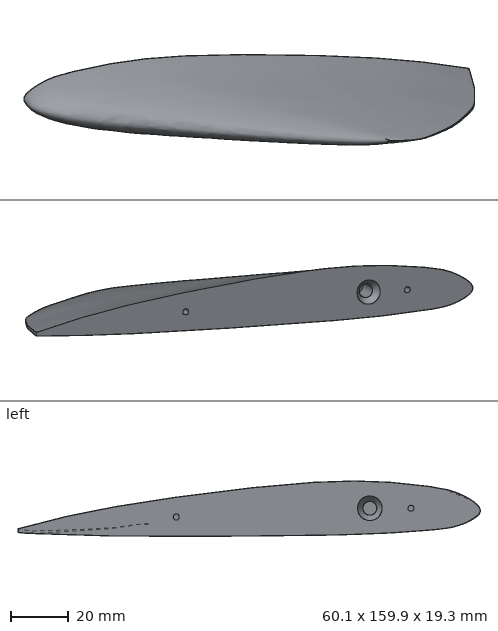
import cadquery as cq


UPPER_SIDE = [(1, 0.14), (0.84, 0.46), (0.64, 0.73), (0.42, 0.94), (0.25, 1), (0.1, 0.89), (0.03, 0.71)]
NOSE = [(0, 0.46)]
LOWER_SIDE = [(0.03, 0.25), (0.1, 0.12), (0.22, 0.05), (0.4, 0.015), (0.6, 0), (0.8, 0.01), (1, 0.07)]
SECTION_OUTLINE = UPPER_SIDE + NOSE + LOWER_SIDE

SECTIONS = [
    (0, 0, 159.9, 0, 19.2, 0),
    (3.2, 0, 159.6, 0, 18.5, 0.2),
    (8, 1.0, 158.8, 0, 17.5, 0.5),
    (14.4, 5.8, 157.8, 0, 16, 0.8),
    (23.2, 19.5, 155.6, 0, 14.0, 0.8),
    (32, 38.7, 152.5, 0.3, 12.2, 0.8),
    (40.5, 57.7, 146.8, 0.8, 10.2, 0.8),
    (49.1, 77.9, 139.1, 1.5, 8.3, 0.8),
    (54.8, 92.9, 131.6, 2.0, 6.9, 0.5),
    (58.2, 103.1, 126.2, 2.7, 5.9, 0.3),
    (59.6, 109.0, 121.9, 3.5, 5.1, 0.2),
    (60.1, 113.5, 118.0, 4.2, 4.5, 0),
]
LIFT_FADE_POWER = 8

SCREW_Y = 38.2
SCREW_Z = 9.8
SCREW_MOUTH_DIAMETER = 8.5
SCREW_DIAMETER = 4.8
SCREW_MOUTH_DEPTH = 2.9
SCREW_DEPTH = 12.8

PIN_CENTRES = [(24, 9.8), (105.2, 6.7)]
PIN_DIAMETER = 2.0
PIN_DEPTH = 9.6

SPAN_DIRECTION = cq.Vector(1, 0, 0)


def section_wire(span, nose, trail, belly, crest, nose_lift):
    """Closed airfoil section: one smooth curve around the nose and a blunt trailing edge."""
    points = []
    for along, up in SECTION_OUTLINE:
        y = nose + along * (trail - nose)
        z = belly + up * (crest - belly) + nose_lift * (1 - along) ** LIFT_FADE_POWER
        points.append(cq.Vector(span, y, z))
    skin = cq.Edge.makeSpline(points)
    trailing_edge = cq.Edge.makeLine(points[-1], points[0])
    return cq.Wire.assembleEdges([skin, trailing_edge])


def make_fin():
    return cq.Solid.makeLoft([section_wire(*section) for section in SECTIONS])


def make_screw_hole():
    mouth_centre = cq.Vector(0, SCREW_Y, SCREW_Z)
    mouth = cq.Solid.makeCone(
        SCREW_MOUTH_DIAMETER / 2, SCREW_DIAMETER / 2, SCREW_MOUTH_DEPTH, mouth_centre, SPAN_DIRECTION
    )
    shank = cq.Solid.makeCylinder(SCREW_DIAMETER / 2, SCREW_DEPTH, mouth_centre, SPAN_DIRECTION)
    return mouth.fuse(shank)


def make_pin_hole(y, z):
    return cq.Solid.makeCylinder(PIN_DIAMETER / 2, PIN_DEPTH, cq.Vector(0, y, z), SPAN_DIRECTION)


result = cq.Workplane(obj=make_fin()).cut(cq.Workplane(obj=make_screw_hole()))
for pin_y, pin_z in PIN_CENTRES:
    result = result.cut(cq.Workplane(obj=make_pin_hole(pin_y, pin_z)))